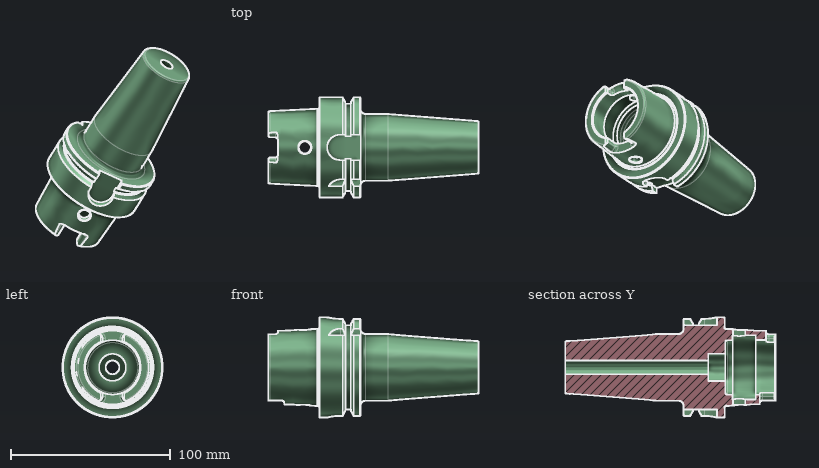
import cadquery as cq
import math

total_length = 132.0
flange_start = 32.0
flange_end = 58.0
neck_end = 74.8

shank_gauge_radius = 48.0 / 2
shank_gauge_station = 25.6
shank_taper_end = 30.1
shank_taper_slope = 1 / 20
shank_end_round = 1.0
shank_collar_end = 30.8
relief_start = 31.2

face_recess_depth = 0.3
face_recess_floor_radius = 25.0
face_recess_rim_radius = 25.7

flange_radius = 63.0 / 2
flange_edge_chamfer = 0.5
groove_floor_radius = 27.5
groove_floor_start = 48.3
groove_floor_end = 51.9
groove_corner_fillet = 0.3
groove_wall_run = 1.7
groove_wall_angle = 60.0

neck_radius = 42.0 / 2
neck_fillet = 3.0
nose_angle = 4.5
nose_end_round = 1.0
nose_end_radius = neck_radius - (total_length - neck_end) * math.tan(math.radians(nose_angle))

mouth_radius = 34.0 / 2
mouth_chamfer = 0.7
lip_end = 12.7
undercut_radius = 40.0 / 2
undercut_end = 27.0
cavity_floor = 31.7
cavity_floor_fillet = 1.3
coolant_bore_radius = 16.9 / 2
coolant_bore_depth = 10.5
through_hole_diameter = 8.5

cross_hole_diameter = 7.5
cross_hole_mouth_diameter = 8.5
cross_hole_station = 23.0

keyway_half_width = 6.2
keyway_depth_top = 6.1
keyway_depth_bottom = 10.0
keyway_floor_fillet = 1.6
keyway_entry_chamfer = 1.0
keyway_flare_start = 18.2
keyway_flare_radius = 2.6

slot_radius = 7.9
slot_center = 44.9
slot_floor_height = 26.5
notch_radius = 8.5
notch_center = 45.3
notch_floor = 20.0

clearance = 6.6


def shank_radius(station):
    return shank_gauge_radius + shank_taper_slope * (station - shank_gauge_station)


def revolve_about_x(profile):
    return profile.close().revolve(360, (0, 0, 0), (1, 0, 0))


def make_outer_body():
    groove_rim_left = groove_floor_start - groove_wall_run
    groove_rim_right = groove_floor_end + groove_wall_run
    rim_edge_radius = flange_radius - flange_edge_chamfer
    wall_foot_radius = flange_radius - groove_wall_run * math.tan(math.radians(groove_wall_angle))
    corner_top_radius = groove_floor_radius + groove_corner_fillet
    collar_radius = shank_radius(shank_taper_end)
    profile = (
        cq.Workplane("XY")
        .lineTo(0, shank_radius(0))
        .lineTo(shank_taper_end, collar_radius)
        .lineTo(shank_collar_end, collar_radius)
        .lineTo(relief_start, shank_gauge_radius)
        .lineTo(flange_start + face_recess_depth, face_recess_floor_radius)
        .lineTo(flange_start, face_recess_rim_radius)
        .lineTo(flange_start, rim_edge_radius)
        .lineTo(flange_start + flange_edge_chamfer, flange_radius)
        .lineTo(groove_rim_left, flange_radius)
        .lineTo(groove_floor_start, wall_foot_radius)
        .lineTo(groove_floor_start, corner_top_radius)
        .radiusArc((groove_floor_start + groove_corner_fillet, groove_floor_radius), -groove_corner_fillet)
        .lineTo(groove_floor_end - groove_corner_fillet, groove_floor_radius)
        .radiusArc((groove_floor_end, corner_top_radius), -groove_corner_fillet)
        .lineTo(groove_floor_end, wall_foot_radius)
        .lineTo(groove_rim_right, flange_radius)
        .lineTo(flange_end - flange_edge_chamfer, flange_radius)
        .lineTo(flange_end, rim_edge_radius)
        .lineTo(flange_end, neck_radius + neck_fillet)
        .radiusArc((flange_end + neck_fillet, neck_radius), -neck_fillet)
        .lineTo(neck_end, neck_radius)
        .lineTo(total_length, nose_end_radius)
        .lineTo(total_length, 0)
    )
    body = revolve_about_x(profile)
    body = body.faces("<X").edges().fillet(shank_end_round)
    return body.faces(">X").edges().fillet(nose_end_round)


def make_cavity():
    coolant_bore_end = cavity_floor + coolant_bore_depth
    profile = (
        cq.Workplane("XY")
        .lineTo(0, mouth_radius + mouth_chamfer)
        .lineTo(mouth_chamfer, mouth_radius)
        .lineTo(lip_end, mouth_radius)
        .lineTo(lip_end, undercut_radius)
        .lineTo(undercut_end, undercut_radius)
        .lineTo(undercut_end, mouth_radius)
        .lineTo(cavity_floor - cavity_floor_fillet, mouth_radius)
        .radiusArc((cavity_floor, mouth_radius - cavity_floor_fillet), cavity_floor_fillet)
        .lineTo(cavity_floor, coolant_bore_radius)
        .lineTo(coolant_bore_end, coolant_bore_radius)
        .lineTo(coolant_bore_end, 0)
    )
    through_hole = cq.Workplane("YZ").circle(through_hole_diameter / 2).extrude(total_length)
    return revolve_about_x(profile).union(through_hole)


def make_cross_hole():
    mouth_depth = (cross_hole_mouth_diameter - cross_hole_diameter) / 2
    hole = (
        cq.Workplane("XY")
        .center(cross_hole_station, 0)
        .circle(cross_hole_diameter / 2)
        .extrude(flange_radius, both=True)
    )
    surface_height = shank_radius(cross_hole_station)
    mouth_height = surface_height - mouth_depth
    for side in (1, -1):
        mouth = (
            cq.Workplane("XY", origin=(cross_hole_station, 0, side * mouth_height))
            .circle(cross_hole_mouth_diameter / 2)
            .extrude(side * clearance)
        )
        hole = hole.union(mouth)
    return hole


def make_keyway(depth):
    """Cutter for the upper keyway: straight walls that flare out towards the rim."""
    flare_half_width = keyway_half_width + keyway_flare_radius
    outer_half_width = flare_half_width + clearance
    flare_end = keyway_flare_start + keyway_flare_radius
    top = shank_gauge_radius + clearance
    slot = (
        cq.Workplane("YZ")
        .moveTo(-keyway_half_width, 0)
        .lineTo(-keyway_half_width, keyway_flare_start)
        .radiusArc((-flare_half_width, flare_end), -keyway_flare_radius)
        .lineTo(-outer_half_width, flare_end)
        .lineTo(-outer_half_width, top)
        .lineTo(outer_half_width, top)
        .lineTo(outer_half_width, flare_end)
        .lineTo(flare_half_width, flare_end)
        .radiusArc((keyway_half_width, keyway_flare_start), -keyway_flare_radius)
        .lineTo(keyway_half_width, 0)
        .close()
        .extrude(depth)
        .faces(">X")
        .edges("not(<Z or >Z or <Y or >Y)")
        .fillet(keyway_floor_fillet)
    )
    entry_half_width = keyway_half_width + keyway_entry_chamfer
    entry = (
        cq.Workplane("XY")
        .moveTo(0, -entry_half_width)
        .lineTo(keyway_entry_chamfer, -keyway_half_width)
        .lineTo(keyway_entry_chamfer, keyway_half_width)
        .lineTo(0, entry_half_width)
        .close()
        .extrude(top)
    )
    return slot.union(entry)


def make_round_ended_slot(end_center, end_radius, center_y, floor_height):
    """Cutter open towards +X and +Z, rounded at its inner end, centred on y = center_y."""
    length = flange_end + clearance - end_center
    height = flange_radius + clearance - floor_height
    base = cq.Workplane("XY", origin=(end_center, center_y, floor_height))
    straight = base.center(length / 2, 0).rect(length, 2 * end_radius).extrude(height)
    return straight.union(base.circle(end_radius).extrude(height))


drive_slot = make_round_ended_slot(slot_center, slot_radius, 0, slot_floor_height)
orientation_notch = make_round_ended_slot(
    notch_center, notch_radius, -notch_floor - notch_radius, notch_floor
)

result = (
    make_outer_body()
    .cut(make_cavity())
    .cut(make_cross_hole())
    .cut(make_keyway(keyway_depth_top))
    .cut(make_keyway(keyway_depth_bottom).rotate((0, 0, 0), (1, 0, 0), 180))
    .cut(drive_slot)
    .cut(drive_slot.mirror("XY"))
    .cut(orientation_notch)
)